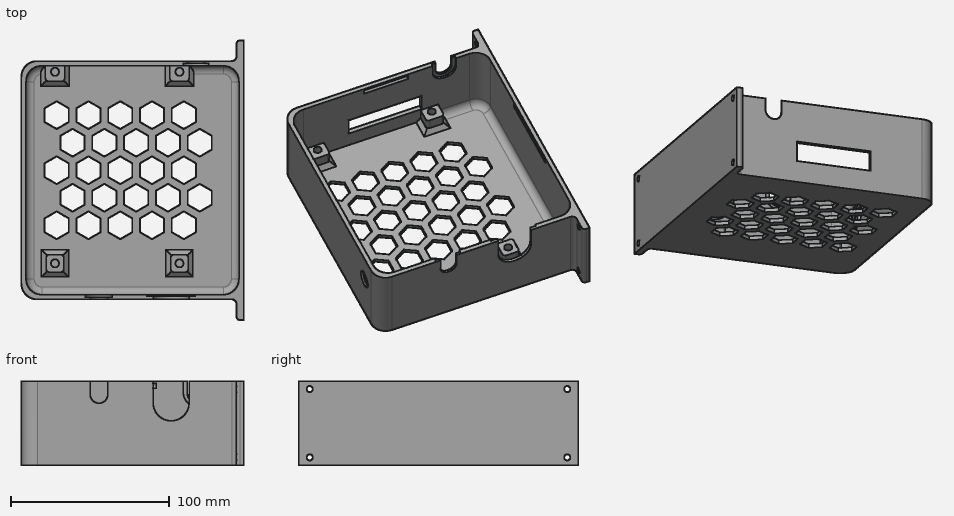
import cadquery as cq
import math

box_length = 140.0
box_width = 150.0
box_height = 53.0
wall = 3.0
floor_thickness = 2.5
corner_radius = 10.0
floor_fillet = 5.0

inner_right = box_length - wall
inner_side = box_width / 2 - wall

flange_width = 176.0
flange_thickness = 4.6
flange_edge_radius = 2.2
flange_root_radius = 3.0
flange_hole_diameter = 3.75
flange_hole_end_distance = 7.0
flange_hole_z_margin = 5.0

vent_sides = 6
vent_across_flats = 15.0
vent_pitch = 20.0
vent_columns = 5
vent_rows = 5
vent_first_x = 22.3
vent_middle_y = 6.3

post_spacing_x = 78.3
post_spacing_y = 120.5
post_first_x = 21.25
front_post_y = -52.3
front_post_width = 11.0
back_post_width = 12.0
post_height = 10.7
post_corner_radius = 1.875
post_flare = 3.0
post_hole_diameter = 5.1

small_notch_width = 11.0
small_recess_depth = 1.5
front_small_notch_x = 48.9
front_small_notch_depth = 13.9
front_small_recess_margin = 3.0
back_small_notch_x = 110.0
back_small_notch_depth = 13.0
back_small_recess_margin = 2.5
large_notch_x = 94.3
large_notch_width = 22.6
large_notch_depth = 25.0
large_recess_margin = 4.0
large_recess_depth = 1.0

port_diameter = 11.0
port_recess_diameter = 16.0
port_recess_depth = 1.5
port_y = -54.5
port_z = 32.4

window_left = 44.3
window_right = 94.2
window_bottom = 14.0
window_top = 27.0

groove_diameter = 3.2
groove_rim_distance = 3.0
groove_z = box_height - groove_rim_distance
back_groove_x = 70.0
back_groove_length = 30.0
right_groove_length = 50.0


def block(x_min, x_max, y_min, y_max, z_min, z_max):
    size = (x_max - x_min, y_max - y_min, z_max - z_min)
    return cq.Workplane("XY").box(*size, centered=False).translate((x_min, y_min, z_min))


def make_shell():
    body = block(0, box_length, -box_width / 2, box_width / 2, 0, box_height)
    body = body.edges("|Z and <X").fillet(corner_radius)

    flange_left = box_length - flange_thickness
    flange = block(flange_left, box_length, -flange_width / 2, flange_width / 2, 0, box_height)
    flange = flange.edges("|Z and <X").fillet(flange_edge_radius)

    body = body.union(flange)
    for side in (-1, 1):
        root_corner = (flange_left, side * box_width / 2, box_height / 2)
        root_edge = cq.selectors.NearestToPointSelector(root_corner)
        body = body.edges("|Z").edges(root_edge).fillet(flange_root_radius)

    cavity = block(wall, inner_right, -inner_side, inner_side, floor_thickness, box_height)
    cavity = cavity.edges("|Z").fillet(corner_radius).faces("<Z").edges().fillet(floor_fillet)
    return body.cut(cavity)


def make_board_clearance():
    """Squares off the floor fillet along the back wall between the two back posts."""
    return block(
        post_first_x,
        post_first_x + post_spacing_x,
        inner_side - floor_fillet,
        inner_side,
        floor_thickness,
        floor_thickness + floor_fillet,
    )


def make_post(x, y, width):
    """Rounded square post on a 45 degree pyramid that rises just enough to meet the rounded corners."""
    post = cq.Workplane("XY").rect(width, width).extrude(post_height)
    post = post.edges("|Z").fillet(post_corner_radius)
    flare_height = post_flare + post_corner_radius
    base_width = width + 2 * post_flare
    flare_top_width = base_width - 2 * flare_height
    flare = cq.Workplane("XY").rect(base_width, base_width)
    flare = flare.workplane(offset=flare_height).rect(flare_top_width, flare_top_width).loft(ruled=True)
    post = post.union(flare).translate((x, y, floor_thickness))
    behind_wall = block(0, box_length, inner_side, box_width, 0, box_height)
    return post.cut(behind_wall)


def make_post_hole(x, y):
    hole = cq.Workplane("XY").circle(post_hole_diameter / 2).extrude(post_height)
    return hole.translate((x, y, floor_thickness))


def make_vents():
    row_pitch = vent_pitch * math.sqrt(3) / 2
    centres = []
    for row in range(vent_rows):
        y = vent_middle_y + (row - (vent_rows - 1) / 2) * row_pitch
        stagger = vent_pitch / 2 if row % 2 else 0
        for column in range(vent_columns):
            centres.append((vent_first_x + stagger + column * vent_pitch, y))
    across_corners = vent_across_flats / math.cos(math.pi / vent_sides)
    vent = cq.Workplane("XY").polygon(vent_sides, across_corners).extrude(floor_thickness)
    vent = vent.rotate((0, 0, 0), (0, 0, 1), 180 / vent_sides).val()
    return cq.Workplane("XY").pushPoints(centres).eachpoint(lambda place: vent.moved(place))


def make_notch(x, width, bottom_z, y_min, y_max):
    """Slot with a round bottom, open at the rim, running from y_min to y_max."""
    centre_z = bottom_z + width / 2
    slot = block(x - width / 2, x + width / 2, y_min, y_max, centre_z, box_height)
    round_end = cq.Workplane("XZ").center(x, centre_z).circle(width / 2).extrude(y_min - y_max)
    return slot.union(round_end.translate((0, y_min, 0)))


def make_cable_opening(x, width, depth, recess_margin, recess_depth, side):
    """Notch through the front (side=-1) or back (side=1) wall, with its inner recess."""
    inner_y = side * inner_side
    outer_y = side * box_width / 2
    recess_y = inner_y + side * recess_depth
    bottom_z = box_height - depth
    notch = make_notch(x, width, bottom_z, min(inner_y, outer_y), max(inner_y, outer_y))
    recess_width = width + 2 * recess_margin
    recess_bottom = bottom_z - recess_margin
    recess = make_notch(x, recess_width, recess_bottom, min(inner_y, recess_y), max(inner_y, recess_y))
    return notch.union(recess)


def make_port():
    axis = cq.Workplane("YZ").center(port_y, port_z)
    hole = axis.circle(port_diameter / 2).extrude(wall)
    recess = axis.circle(port_recess_diameter / 2).extrude(port_recess_depth)
    return hole.union(recess.translate((wall - port_recess_depth, 0, 0)))


def make_flange_holes():
    y = flange_width / 2 - flange_hole_end_distance
    z_low = flange_hole_z_margin
    z_high = box_height - flange_hole_z_margin
    centres = [(side * y, z) for side in (-1, 1) for z in (z_low, z_high)]
    holes = cq.Workplane("YZ").pushPoints(centres).circle(flange_hole_diameter / 2)
    return holes.extrude(flange_thickness).translate((box_length - flange_thickness, 0, 0))


def make_window():
    return block(window_left, window_right, inner_side, box_width / 2, window_bottom, window_top)


def make_back_groove():
    rod = cq.Workplane("YZ").center(inner_side, groove_z).circle(groove_diameter / 2)
    return rod.extrude(back_groove_length / 2, both=True).translate((back_groove_x, 0, 0))


def make_right_groove():
    rod = cq.Workplane("XZ").center(inner_right, groove_z).circle(groove_diameter / 2)
    return rod.extrude(right_groove_length / 2, both=True)


result = make_shell().cut(make_board_clearance())

back_post_y = front_post_y + post_spacing_y
for post_x in (post_first_x, post_first_x + post_spacing_x):
    for post_y, post_width in ((front_post_y, front_post_width), (back_post_y, back_post_width)):
        result = result.union(make_post(post_x, post_y, post_width))
        result = result.cut(make_post_hole(post_x, post_y))

front_small_opening = make_cable_opening(
    front_small_notch_x,
    small_notch_width,
    front_small_notch_depth,
    front_small_recess_margin,
    small_recess_depth,
    side=-1,
)
back_small_opening = make_cable_opening(
    back_small_notch_x,
    small_notch_width,
    back_small_notch_depth,
    back_small_recess_margin,
    small_recess_depth,
    side=1,
)
large_opening = make_cable_opening(
    large_notch_x,
    large_notch_width,
    large_notch_depth,
    large_recess_margin,
    large_recess_depth,
    side=-1,
)
result = result.cut(front_small_opening).cut(back_small_opening).cut(large_opening)
result = result.cut(make_vents()).cut(make_flange_holes()).cut(make_port()).cut(make_window())
result = result.cut(make_back_groove()).cut(make_right_groove())